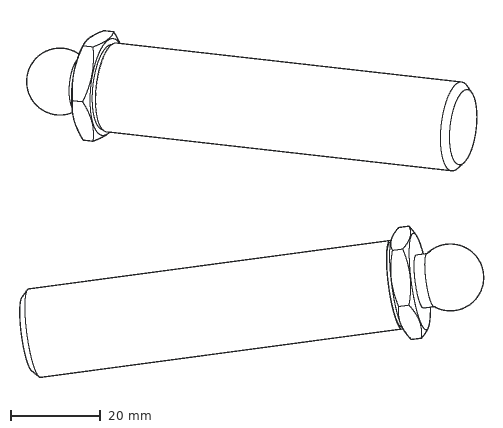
import cadquery as cq
import math

total_length = 104.0
ball_diameter = 15.0
neck_diameter = 12.0
hex_corner_diameter = 25.4
hex_start = 14.5
hex_thickness = 4.5
hex_face_diameter = 21.7
hex_chamfer_angle = 30.0
relief_diameter = 19.1
relief_width = 0.9
shank_diameter = 20.0
end_chamfer = 1.6

ball_radius = ball_diameter / 2
hex_end = hex_start + hex_thickness
shank_start = hex_end + relief_width


def cylinder(diameter, start, end):
    """Solid cylinder along X between two stations."""
    return cq.Workplane("YZ", origin=(start, 0, 0)).circle(diameter / 2).extrude(end - start)


def hex_collar():
    """Hexagon with corners on Y, its corners bevelled by a cone at both faces."""
    face_radius = hex_face_diameter / 2
    corner_radius = hex_corner_diameter / 2
    bevel_depth = (corner_radius - face_radius) * math.tan(math.radians(hex_chamfer_angle))
    hexagon = (
        cq.Workplane("YZ", origin=(hex_start, 0, 0))
        .polygon(6, hex_corner_diameter)
        .extrude(hex_thickness)
    )
    bevel_envelope = (
        cq.Workplane("XY")
        .moveTo(hex_start, 0)
        .lineTo(hex_start, face_radius)
        .lineTo(hex_start + bevel_depth, corner_radius)
        .lineTo(hex_end - bevel_depth, corner_radius)
        .lineTo(hex_end, face_radius)
        .lineTo(hex_end, 0)
        .close()
        .revolve(360, (0, 0, 0), (1, 0, 0))
    )
    return hexagon.intersect(bevel_envelope)


ball = cq.Workplane("XY").sphere(ball_radius).translate((ball_radius, 0, 0))
neck = cylinder(neck_diameter, ball_radius, hex_start)
relief = cylinder(relief_diameter, hex_end, shank_start)
shank = cylinder(shank_diameter, shank_start, total_length).faces(">X").chamfer(end_chamfer)

result = hex_collar().union(neck).union(ball).union(relief).union(shank)